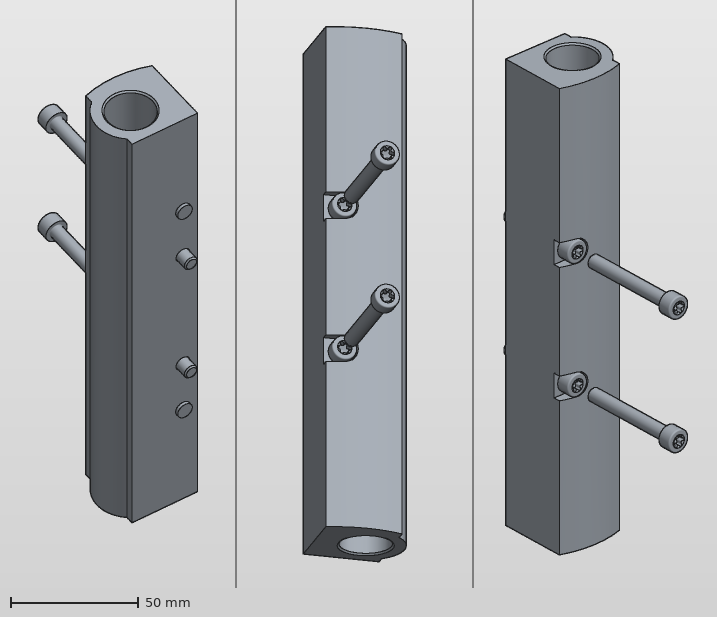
import cadquery as cq
import math

length = 210.0
back_y = 21.0
right_x = 16.0
nose_radius = 16.0
ledge_y = -10.0
bulge_x = -19.0
bulge_y = 4.6
bulge_back_x = -16.0
bulge_front_x = -16.5

bore_diameter = 21.0
bore_mouth_diameter = 22.5

head_diameter = 10.0
head_height = 6.0
head_fillet = 0.6
shank_diameter = 6.0
tip_chamfer = 0.6
neck_fillet = 0.2
socket_lobes = 6
socket_tip_diameter = 5.7
socket_waist_diameter = 4.0
socket_mouth_diameter = 5.9
cone_slope = math.tan(math.pi / 6)
socket_depth = 3.0
screw_y = 14.0
screw_z = 30.0
fitted_shank = 34.9
loose_shank = 45.0
loose_head_x = -79.0

seat_x = bulge_x + head_height
seat_diameter = 11.1
screw_hole_diameter = 6.5

pin_diameter = 7.0
pin_z = 55.0
pin_projection = 1.5
pin_insertion = 7.0


def cylinder_along_x(diameter, start_x, end_x, y, z):
    """Solid cylinder parallel to X between two X positions."""
    return (
        cq.Workplane("YZ", origin=(start_x, y, z))
        .circle(diameter / 2)
        .extrude(end_x - start_x)
    )


def make_housing():
    nose_x = math.sqrt(nose_radius**2 - ledge_y**2)
    body = (
        cq.Workplane("XY", origin=(0, 0, -length / 2))
        .moveTo(right_x, back_y)
        .lineTo(bulge_back_x, back_y)
        .threePointArc((bulge_x, bulge_y), (bulge_front_x, ledge_y))
        .lineTo(-nose_x, ledge_y)
        .threePointArc((0, -nose_radius), (nose_x, ledge_y))
        .lineTo(right_x, ledge_y)
        .close()
        .extrude(length)
    )

    bore_chamfer = (bore_mouth_diameter - bore_diameter) / 2
    bore = cq.Workplane("XY", origin=(0, 0, -length / 2)).circle(bore_diameter / 2).extrude(length)
    body = body.cut(bore)
    body = body.faces("<Z or >Z").edges(cq.selectors.RadiusNthSelector(0)).chamfer(bore_chamfer)

    for z in (-screw_z, screw_z):
        pocket = cylinder_along_x(seat_diameter, bulge_x, seat_x, screw_y, z)
        runout = (
            cq.Workplane("XY", origin=(bulge_x, screw_y, z))
            .box(head_height, back_y - screw_y, seat_diameter, centered=(False, False, True))
        )
        hole = cylinder_along_x(screw_hole_diameter, seat_x, right_x, screw_y, z)
        body = body.cut(pocket).cut(runout).cut(hole)

    for z in (-pin_z, pin_z):
        body = body.cut(cylinder_along_x(pin_diameter, right_x - pin_insertion, right_x, screw_y, z))
    return body


def make_socket(head_x, z):
    """Six-lobe socket with one lobe toward +Y, a countersunk mouth and a conical bottom."""
    tip_radius = socket_tip_diameter / 2
    waist_radius = socket_waist_diameter / 2
    flank_radius = (tip_radius + waist_radius) / 2
    lobe_angle = 2 * math.pi / socket_lobes

    def polar(radius, turns):
        """Point at a radius, with the angle counted in lobe spacings."""
        angle = turns * lobe_angle
        return (radius * math.cos(angle), radius * math.sin(angle))

    outline = cq.Workplane("YZ", origin=(head_x, screw_y, z)).moveTo(*polar(flank_radius, -0.25))
    for lobe in range(socket_lobes):
        outline = outline.threePointArc(polar(tip_radius, lobe), polar(flank_radius, lobe + 0.25))
        outline = outline.threePointArc(polar(waist_radius, lobe + 0.5), polar(flank_radius, lobe + 0.75))
    lobes = outline.close().extrude(head_height)

    floor_x = head_x + socket_depth
    point_height = tip_radius * cone_slope
    drilled = (
        cq.Workplane("XY")
        .moveTo(head_x, 0)
        .lineTo(head_x, tip_radius)
        .lineTo(floor_x, tip_radius)
        .lineTo(floor_x + point_height, 0)
        .close()
        .revolve(360, (0, 0, 0), (1, 0, 0))
        .translate((0, screw_y, z))
    )
    mouth_radius = socket_mouth_diameter / 2
    mouth = cq.Solid.makeCone(
        mouth_radius, 0, mouth_radius * cone_slope,
        pnt=cq.Vector(head_x, screw_y, z), dir=cq.Vector(1, 0, 0),
    )
    return lobes.intersect(drilled).union(cq.Workplane(mouth))


def make_screw(head_x, shank_length, z):
    """Six-lobe socket head screw pointing to +X, with the outer head face at head_x."""
    under_head_x = head_x + head_height
    tip_x = under_head_x + shank_length
    head = cylinder_along_x(head_diameter, head_x, under_head_x, screw_y, z)
    head = head.faces("<X").edges().fillet(head_fillet)
    shank = cylinder_along_x(shank_diameter, under_head_x, tip_x, screw_y, z)
    shank = shank.faces(">X").edges().chamfer(tip_chamfer)

    neck_radius = shank_diameter / 2
    neck = (
        cq.Workplane("XY")
        .moveTo(under_head_x, 0)
        .lineTo(under_head_x, neck_radius + neck_fillet)
        .radiusArc((under_head_x + neck_fillet, neck_radius), -neck_fillet)
        .lineTo(under_head_x + neck_fillet, 0)
        .close()
        .revolve(360, (0, 0, 0), (1, 0, 0))
        .translate((0, screw_y, z))
    )

    return head.union(shank).union(neck).cut(make_socket(head_x, z))


def make_pin(z):
    return cylinder_along_x(pin_diameter, right_x - pin_insertion, right_x + pin_projection, screw_y, z)


housing = make_housing()
fitted_screws = [make_screw(bulge_x, fitted_shank, z) for z in (-screw_z, screw_z)]
loose_screws = [make_screw(loose_head_x, loose_shank, z) for z in (-screw_z, screw_z)]
pins = [make_pin(z) for z in (-pin_z, pin_z)]

bodies = [housing, *fitted_screws, *loose_screws, *pins]
result = cq.Compound.makeCompound([body.val() for body in bodies])